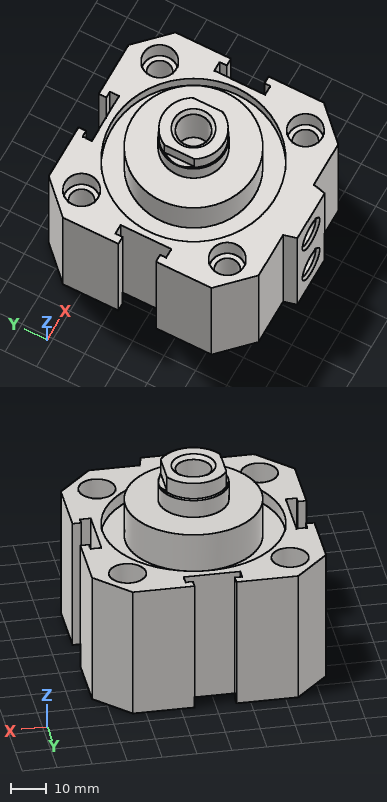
import cadquery as cq
import math

body_width = 67.0
body_height = 40.0
corner_chamfer = 9.8

rib_projection = 4.0
rib_root_width = 18.2
rib_face_width = 16.2

slot_mouth_width = 12.0
slot_inner_width = 16.2
slot_lip = 2.5
side_slot_depth = 5.6
side_slot_inner_offset = 0.2
back_slot_depth = 5.4

bolt_pitch = 46.5
bolt_hole_diameter = 7.4
bolt_counterbore_diameter = 10.5
bolt_counterbore_depth = 6.5

port_heights = (11.0, 29.0)
port_diameter = 8.6
port_mouth_diameter = 10.3
port_depth = 10.0

recess_diameter = 52.0
recess_depth = 4.0

collar_diameter = 39.0
collar_projection = 8.0

rod_diameter = 20.0
rod_neck_diameter = 19.5
rod_top = 59.0
flat_length = 4.5
across_flats = 17.0
flat_runout_angle = 30.0
neck_length = 5.0
shoulder_height = 0.5
tap_diameter = 10.2
tap_mouth_diameter = 12.5
tap_depth = 15.0
drill_point_angle = 118.0

half_body = body_width / 2
recess_floor = body_height - recess_depth
collar_top = body_height + collar_projection
rod_radius = rod_diameter / 2
flat_base = rod_top - flat_length


def t_slot(depth, angle, inner_offset=0.0):
    """T-slot along Z, cut into the +X face and then turned about Z by the angle."""
    overlap = 1.0
    mouth = (
        cq.Workplane("XY")
        .center(half_body + (overlap - depth) / 2, 0)
        .rect(depth + overlap, slot_mouth_width)
        .extrude(body_height)
    )
    inner_depth = depth - slot_lip
    inner = (
        cq.Workplane("XY")
        .center(half_body - slot_lip - inner_depth / 2, inner_offset)
        .rect(inner_depth, slot_inner_width)
        .extrude(body_height)
    )
    return mouth.union(inner).rotate((0, 0, 0), (0, 0, 1), angle)


def port(height):
    """Blind air port with a 45 degree mouth, drilled from the rib face along +Y."""
    face = -half_body - rib_projection
    mouth_radius = port_mouth_diameter / 2
    hole_radius = port_diameter / 2
    return (
        cq.Workplane("XY")
        .polyline([
            (0, 0),
            (mouth_radius, 0),
            (hole_radius, mouth_radius - hole_radius),
            (hole_radius, port_depth),
            (0, port_depth),
        ])
        .close()
        .revolve(360, (0, 0, 0), (0, 1, 0))
        .translate((0, face, height))
    )


def make_housing():
    block = (
        cq.Workplane("XY")
        .rect(body_width, body_width)
        .extrude(body_height)
        .edges("|Z")
        .chamfer(corner_chamfer)
    )
    rib = (
        cq.Workplane("XY")
        .polyline([
            (-rib_root_width / 2, -half_body),
            (-rib_face_width / 2, -half_body - rib_projection),
            (rib_face_width / 2, -half_body - rib_projection),
            (rib_root_width / 2, -half_body),
        ])
        .close()
        .extrude(body_height)
    )
    housing = block.union(rib)

    housing = housing.cut(t_slot(side_slot_depth, 0, side_slot_inner_offset))
    housing = housing.cut(t_slot(back_slot_depth, 90))
    housing = housing.cut(t_slot(side_slot_depth, 180, -side_slot_inner_offset))

    housing = (
        housing.faces(">Z")
        .workplane(origin=(0, 0, body_height))
        .rect(bolt_pitch, bolt_pitch, forConstruction=True)
        .vertices()
        .cboreHole(bolt_hole_diameter, bolt_counterbore_diameter, bolt_counterbore_depth)
    )

    for height in port_heights:
        housing = housing.cut(port(height))

    recess = (
        cq.Workplane("XY")
        .workplane(offset=recess_floor)
        .circle(recess_diameter / 2)
        .extrude(recess_depth)
    )
    collar = (
        cq.Workplane("XY")
        .workplane(offset=recess_floor)
        .circle(collar_diameter / 2)
        .circle(rod_radius)
        .extrude(collar_top - recess_floor)
    )
    return housing.cut(recess).union(collar)


def make_rod():
    """Rod standing on the recess floor and passing through the collar."""
    neck_radius = rod_neck_diameter / 2
    neck_base = rod_top - neck_length
    shaft_top = neck_base - shoulder_height
    mouth_radius = tap_mouth_diameter / 2
    tap_radius = tap_diameter / 2
    tap_floor = rod_top - tap_depth
    drill_tip = tap_floor - tap_radius / math.tan(math.radians(drill_point_angle / 2))

    rod = (
        cq.Workplane("XZ")
        .polyline([
            (0, recess_floor),
            (rod_radius, recess_floor),
            (rod_radius, shaft_top),
            (neck_radius, neck_base),
            (neck_radius, rod_top),
            (mouth_radius, rod_top),
            (tap_radius, rod_top - (mouth_radius - tap_radius)),
            (tap_radius, tap_floor),
            (0, drill_tip),
        ])
        .close()
        .revolve(360, (0, 0, 0), (0, 1, 0))
    )

    flat_offset = across_flats / 2
    cut_width = rod_radius
    runout_drop = cut_width * math.tan(math.radians(flat_runout_angle))
    flat_cut = (
        cq.Workplane("XZ")
        .polyline([
            (flat_offset, flat_base),
            (flat_offset, rod_top),
            (flat_offset + cut_width, rod_top),
            (flat_offset + cut_width, flat_base - runout_drop),
        ])
        .close()
        .extrude(rod_radius, both=True)
    )
    for angle in (0, 180):
        rod = rod.cut(flat_cut.rotate((0, 0, 0), (0, 0, 1), angle))
    return rod


housing = make_housing()
rod = make_rod()
result = cq.Compound.makeCompound([housing.val(), rod.val()])